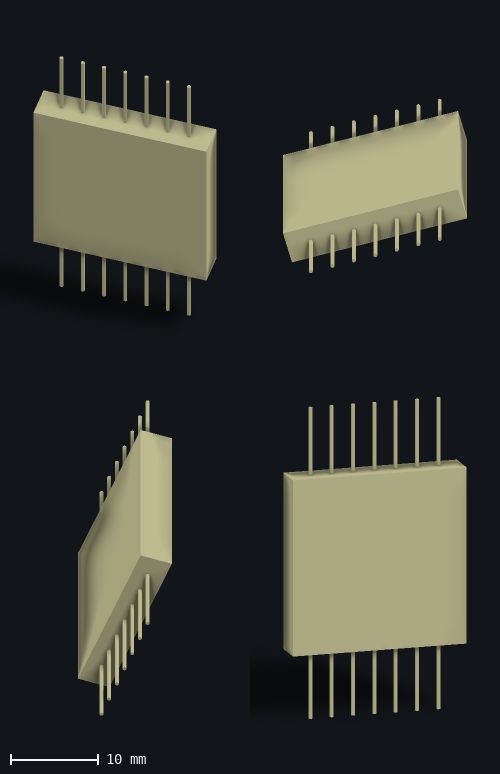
import cadquery as cq

total_height = 36.5
body_side = 20.65
body_thickness = 3.8

pin_count = 7
pin_row_span = 15.22
pin_row_x = 0.055
pin_row_y = -0.07
pin_radius = 0.225

seal_diameter = 1.35
seal_depth = 0.73

body_half = body_side / 2
pin_length = (total_height - body_side) / 2
pin_pitch = pin_row_span / (pin_count - 1)
first_pin_x = pin_row_x - pin_row_span / 2
pin_positions = [(first_pin_x + i * pin_pitch, pin_row_y) for i in range(pin_count)]
sealed_positions = pin_positions[::2]


def rods(positions, radius, base_z, length):
    """Upright cylinders standing on the level base_z."""
    base = cq.Workplane("XY", origin=(0, 0, base_z))
    return base.pushPoints(positions).circle(radius).extrude(length)


body = cq.Workplane("XY").box(body_side, body_thickness, body_side)
seals = rods(sealed_positions, seal_diameter / 2, body_half - seal_depth, seal_depth)
top_pins = rods(pin_positions, pin_radius, body_half, pin_length)
bottom_pins = rods(pin_positions, pin_radius, -total_height / 2, pin_length)

result = body.union(seals, clean=False)
result = result.union(top_pins, clean=False)
result = result.union(bottom_pins, clean=False)